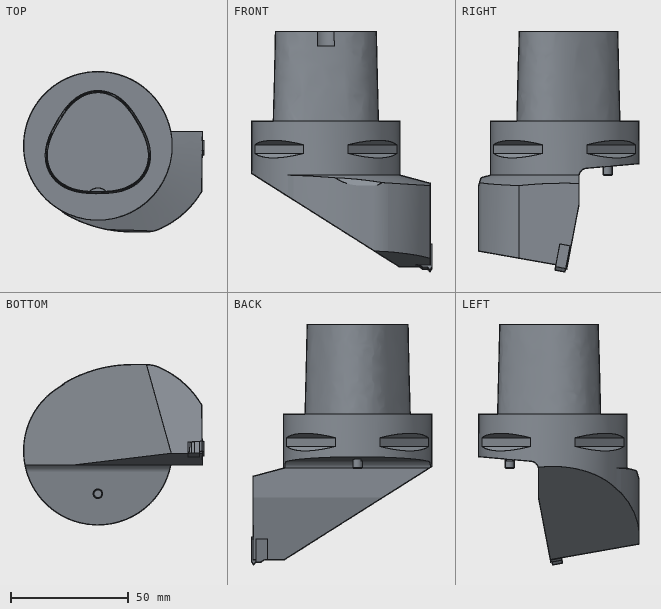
import cadquery as cq
import math

FLANGE_R = 31.5
FLANGE_H = 22.8

SHANK_H = 38.0
SHANK_MEAN_R = 21.87
SHANK_LOBE = 1.58
SHANK_TAPER = 0.9
OUTLINE_POINTS = 36
KEY_DEPTH = 6.1
KEY_R = 4.9
KEY_INNER_Y = -17.8

GROOVE_COUNT = 4
GROOVE_FIRST_ANGLE = 45
GROOVE_Z = -11.8
GROOVE_FLOOR_DIST = 27.9
GROOVE_FLOOR_W = 3.7
GROOVE_FLARE = 28

ARM_FRONT_Y = 6.1
ARM_BACK_Y = -36.5
ARM_FRONT_X = 44.4
ARM_SIDE_END = (44.1, -19.4)
CORNER_BLEND = (26.4, -35.2)
FLAT_X_MAX = 20.3
FLAT_X_MIN = 14.5
SWEEP_START = (-13.7, -29.0)
FLANGE_JOIN_X = -16.0
FLANGE_MID_ANGLE = 210

CONE_ANGLE = 15
SLANT_TOP_Z = -22.1
SLANT_ANGLE = 32.3
BOTTOM_BACK_Z = -55.1
BOTTOM_ANGLE = 10
BACK_BEVEL_Z = -27.3
BACK_BEVEL_RUN = 2.0
BACK_BEVEL_RISE = 6.7
RAKE_Z = -35.4
RAKE_ANGLE = 10.8

RELIEF_EDGE_Z = -18.0
RELIEF_ANGLE = 5
RELIEF_FILLET = 3.4

NOZZLE_D = 4.0
NOZZLE_Y = 18.3
NOZZLE_END_Z = -22.9
NOZZLE_ROOT_Z = -15.3
NOZZLE_CHAMFER = 0.3
NOZZLE_NOTCH_W = 2.7
NOZZLE_NOTCH_Z = -19.9

INSERT_T = 4.9
LIP_DROP = 0.5
INSERT_X_MIN = 38.1
INSERT_X_MAX = 45.0
INSERT_TOP_Z = -53.2
LIP_X_MIN = 43.1
TAIL_Z = -63.2
TAIL_X = (39.7, 41.0)
TAIL_BEVEL_H = 0.9
HEEL_Z = -62.1
TIP_X = 44.1
TIP_Z = -64.6
SIDE_END_Z = -63.0

REACH = 102.0


def tan(angle):
    return math.tan(math.radians(angle))


def lobed_outline(mean_radius):
    points = []
    for i in range(OUTLINE_POINTS):
        angle = 2 * math.pi * i / OUTLINE_POINTS
        radius = mean_radius - SHANK_LOBE * math.sin(3 * angle)
        points.append((radius * math.cos(angle), radius * math.sin(angle)))
    return points


def make_shank():
    shank = (
        cq.Workplane("XY")
        .spline(lobed_outline(SHANK_MEAN_R), periodic=True).close()
        .workplane(offset=SHANK_H)
        .spline(lobed_outline(SHANK_MEAN_R - SHANK_TAPER), periodic=True).close()
        .loft(combine=True)
    )
    key = (
        cq.Workplane("XY", origin=(0, KEY_INNER_Y - KEY_R, SHANK_H - KEY_DEPTH))
        .circle(KEY_R).extrude(KEY_DEPTH)
    )
    return shank.cut(key)


def make_flange():
    flange = cq.Workplane("XY").circle(FLANGE_R).extrude(-FLANGE_H)
    depth = FLANGE_R - GROOVE_FLOOR_DIST
    floor_half = GROOVE_FLOOR_W / 2
    mouth_half = floor_half + depth * tan(GROOVE_FLARE)
    groove = (
        cq.Workplane("XZ", origin=(0, 0, GROOVE_Z))
        .moveTo(GROOVE_FLOOR_DIST, -floor_half)
        .lineTo(FLANGE_R, -mouth_half)
        .lineTo(FLANGE_R, mouth_half)
        .lineTo(GROOVE_FLOOR_DIST, floor_half)
        .close().extrude(FLANGE_R, both=True)
    )
    for i in range(GROOVE_COUNT):
        angle = GROOVE_FIRST_ANGLE + i * 360 / GROOVE_COUNT
        flange = flange.cut(groove.rotate((0, 0, 0), (0, 0, 1), angle))
    return flange


def make_arm():
    front_left = (-math.sqrt(FLANGE_R**2 - ARM_FRONT_Y**2), ARM_FRONT_Y)
    flange_join = (FLANGE_JOIN_X, -math.sqrt(FLANGE_R**2 - FLANGE_JOIN_X**2))
    middle = math.radians(FLANGE_MID_ANGLE)
    flange_mid = (FLANGE_R * math.cos(middle), FLANGE_R * math.sin(middle))
    prism = (
        cq.Workplane("XY", origin=(0, 0, -FLANGE_H))
        .moveTo(*front_left)
        .threePointArc(flange_mid, flange_join)
        .lineTo(*SWEEP_START)
        .threePointArc(sweep_middle(), (FLAT_X_MIN, ARM_BACK_Y))
        .lineTo(FLAT_X_MAX, ARM_BACK_Y)
        .tangentArcPoint(CORNER_BLEND, relative=False)
        .tangentArcPoint(ARM_SIDE_END, relative=False)
        .lineTo(ARM_FRONT_X, ARM_FRONT_Y)
        .close().extrude(-REACH)
    )
    cone_drop = (REACH - FLANGE_R) * tan(CONE_ANGLE)
    envelope = (
        cq.Workplane("XZ")
        .moveTo(0, -FLANGE_H)
        .lineTo(FLANGE_R, -FLANGE_H)
        .lineTo(REACH, -FLANGE_H - cone_drop)
        .lineTo(REACH, -2 * REACH)
        .lineTo(0, -2 * REACH)
        .close().revolve(360, (0, 0), (0, 1))
    )
    return (
        prism.intersect(envelope)
        .cut(make_back_bevel())
        .cut(make_below_bottom())
        .cut(make_rake_cut())
    )


def sweep_middle():
    """Middle of the arc from SWEEP_START that meets the back flat tangentially."""
    run = FLAT_X_MIN - SWEEP_START[0]
    rise = SWEEP_START[1] - ARM_BACK_Y
    radius = (run**2 + rise**2) / (2 * rise)
    half_angle = math.asin(run / radius) / 2
    return (
        FLAT_X_MIN - radius * math.sin(half_angle),
        ARM_BACK_Y + radius * (1 - math.cos(half_angle)),
    )


def along_x(points):
    """Prism through the whole part in X from a (Y, Z) outline."""
    return cq.Workplane("YZ").polyline(points).close().extrude(REACH, both=True)


def make_back_bevel():
    return along_x([
        (ARM_BACK_Y, BACK_BEVEL_Z),
        (ARM_BACK_Y + BACK_BEVEL_RUN, BACK_BEVEL_Z + BACK_BEVEL_RISE),
        (ARM_BACK_Y, BACK_BEVEL_Z + BACK_BEVEL_RISE),
    ])


def make_below_bottom():
    front_z = BOTTOM_BACK_Z - (ARM_FRONT_Y - ARM_BACK_Y) * tan(BOTTOM_ANGLE)
    return along_x([
        (ARM_BACK_Y, BOTTOM_BACK_Z),
        (ARM_FRONT_Y, front_z),
        (ARM_FRONT_Y, -2 * REACH),
        (ARM_BACK_Y, -2 * REACH),
    ])


def make_rake_cut():
    return along_x([
        (ARM_FRONT_Y, RAKE_Z),
        (ARM_FRONT_Y - REACH * tan(RAKE_ANGLE), RAKE_Z - REACH),
        (ARM_FRONT_Y, RAKE_Z - REACH),
    ])


def make_slant_cut():
    slant_run = 2 * REACH
    return (
        cq.Workplane("XZ")
        .moveTo(-FLANGE_R, SLANT_TOP_Z)
        .lineTo(-FLANGE_R + slant_run, SLANT_TOP_Z - slant_run * tan(SLANT_ANGLE))
        .lineTo(-FLANGE_R, SLANT_TOP_Z - slant_run * tan(SLANT_ANGLE))
        .close().extrude(REACH, both=True)
    )


def make_relief():
    corner_z = RELIEF_EDGE_Z - (FLANGE_R - ARM_FRONT_Y) * tan(RELIEF_ANGLE)
    relief = along_x([
        (ARM_FRONT_Y, corner_z),
        (FLANGE_R, RELIEF_EDGE_Z),
        (FLANGE_R, -REACH),
        (ARM_FRONT_Y, -REACH),
    ])
    return relief.edges(cq.NearestToPointSelector((0, ARM_FRONT_Y, corner_z))).fillet(RELIEF_FILLET)


def make_nozzle():
    nozzle = (
        cq.Workplane("XY", origin=(0, NOZZLE_Y, NOZZLE_END_Z))
        .circle(NOZZLE_D / 2).extrude(NOZZLE_ROOT_Z - NOZZLE_END_Z)
        .faces("<Z").chamfer(NOZZLE_CHAMFER)
    )
    flat_x = -math.sqrt((NOZZLE_D / 2)**2 - (NOZZLE_NOTCH_W / 2)**2)
    notch = cq.Workplane("XY").box(
        NOZZLE_D, NOZZLE_D, NOZZLE_ROOT_Z - NOZZLE_NOTCH_Z, centered=(False, True, False)
    ).translate((flat_x - NOZZLE_D, NOZZLE_Y, NOZZLE_NOTCH_Z))
    return nozzle.cut(notch)


def make_insert():
    back_y = ARM_FRONT_Y - INSERT_T
    block = (
        cq.Workplane("XZ", origin=(0, ARM_FRONT_Y, 0))
        .moveTo(INSERT_X_MIN, INSERT_TOP_Z)
        .lineTo(INSERT_X_MIN, HEEL_Z)
        .lineTo(TAIL_X[0], TAIL_Z + TAIL_BEVEL_H)
        .lineTo(TAIL_X[1], TAIL_Z)
        .lineTo(LIP_X_MIN, TAIL_Z)
        .lineTo(LIP_X_MIN, INSERT_TOP_Z)
        .close().extrude(INSERT_T)
    )
    lip = (
        cq.Workplane("XZ", origin=(0, ARM_FRONT_Y - LIP_DROP, 0))
        .moveTo(LIP_X_MIN, INSERT_TOP_Z)
        .lineTo(LIP_X_MIN, TAIL_Z)
        .lineTo(TIP_X, TIP_Z)
        .lineTo(INSERT_X_MAX, SIDE_END_Z)
        .lineTo(INSERT_X_MAX, INSERT_TOP_Z)
        .close().extrude(ARM_FRONT_Y - LIP_DROP - back_y)
    )
    hinge = (0, ARM_FRONT_Y, RAKE_Z)
    return block.union(lip).rotate(hinge, (1, ARM_FRONT_Y, RAKE_Z), -RAKE_ANGLE)


insert = make_insert()
holder = (
    make_flange()
    .union(make_shank())
    .union(make_arm())
    .cut(make_slant_cut())
    .cut(make_relief())
    .union(make_nozzle())
    .cut(insert)
)

result = cq.Compound.makeCompound([holder.solids().val(), insert.solids().val()])